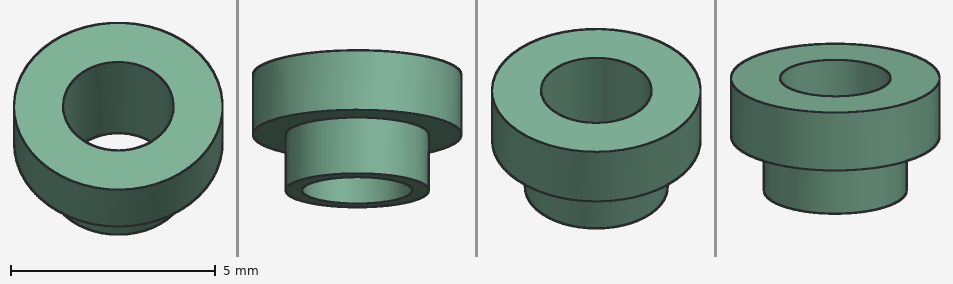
import cadquery as cq

flange_diameter = 5.1
sleeve_diameter = 3.5
bore_diameter = 2.7
total_height = 2.9
flange_height = 1.5
sleeve_height = total_height - flange_height

sleeve = cq.Workplane("XY").circle(sleeve_diameter / 2).extrude(sleeve_height)

flange = (
    cq.Workplane("XY")
    .workplane(offset=sleeve_height)
    .circle(flange_diameter / 2)
    .extrude(flange_height)
)

bore = cq.Workplane("XY").circle(bore_diameter / 2).extrude(total_height)

result = sleeve.union(flange).cut(bore)